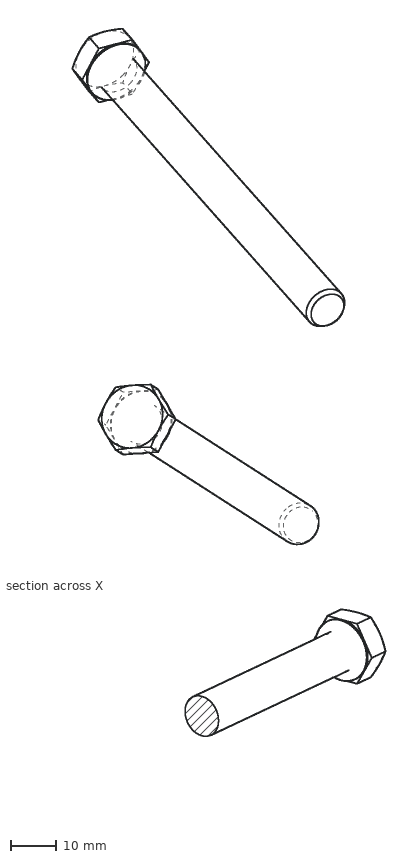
import cadquery as cq
import math

overall_length = 114.1
across_flats = 14.3
head_height = 6.2
washer_thickness = 0.5
washer_diameter = across_flats
shank_diameter = 9.5
neck_radius = 0.6
tip_length = 1.0
tip_inset = 0.7
head_chamfer_angle = 30.0

across_corners = across_flats / math.cos(math.radians(30))
hex_height = head_height - washer_thickness
shank_radius = shank_diameter / 2


def hex_head():
    """Hexagonal prism with flats facing +Z and -Z and conically trimmed corners."""
    prism = cq.Workplane("YZ").polygon(6, across_corners).extrude(hex_height)

    face_radius = across_flats / 2
    corner_radius = across_corners / 2
    chamfer_depth = (corner_radius - face_radius) * math.tan(math.radians(head_chamfer_angle))
    envelope = (
        cq.Workplane("XY")
        .moveTo(0, 0)
        .lineTo(0, face_radius)
        .lineTo(chamfer_depth, corner_radius)
        .lineTo(hex_height, corner_radius)
        .lineTo(hex_height, 0)
        .close()
        .revolve(360, (0, 0, 0), (1, 0, 0))
    )
    return prism.intersect(envelope)


def washer_face_and_shank():
    """Washer face, filleted neck, plain shank and chamfered tip, revolved about X."""
    return (
        cq.Workplane("XY")
        .moveTo(hex_height, 0)
        .lineTo(hex_height, washer_diameter / 2)
        .lineTo(head_height, washer_diameter / 2)
        .lineTo(head_height, shank_radius + neck_radius)
        .radiusArc((head_height + neck_radius, shank_radius), -neck_radius)
        .lineTo(overall_length - tip_length, shank_radius)
        .lineTo(overall_length, shank_radius - tip_inset)
        .lineTo(overall_length, 0)
        .close()
        .revolve(360, (0, 0, 0), (1, 0, 0))
    )


result = hex_head().union(washer_face_and_shank())